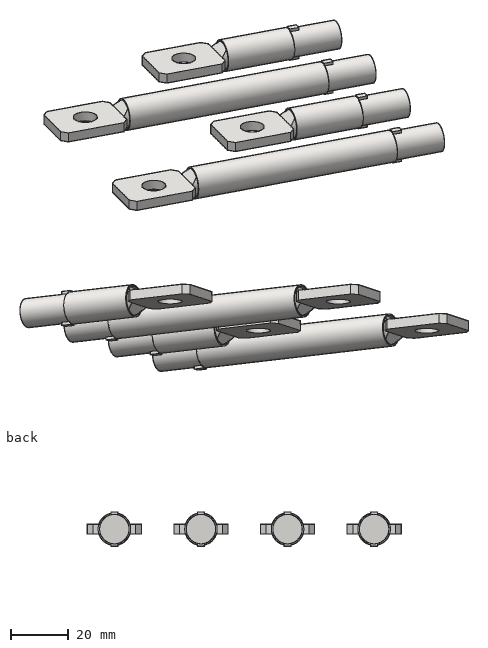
import cadquery as cq
import math

PITCH = 30.0
BARREL_LENGTHS = [25.0, 75.0, 25.0, 75.0]
OVERALL_LENGTH = 120.0

STEM_DIAMETER = 10.2
STEM_LENGTH = 18.0
BARREL_DIAMETER = 11.3

KEY_WIDTH = 2.4
KEY_LENGTH = 3.5
KEY_SPAN = 12.0

LUG_WIDTH = 18.8
LUG_LENGTH = 25.0
LUG_THICKNESS = 3.5
LUG_CHAMFER = 2.0
BOLT_HOLE_DIAMETER = 8.3

NECK_DIAMETER = STEM_DIAMETER
NECK_GAP = OVERALL_LENGTH - STEM_LENGTH - max(BARREL_LENGTHS) - LUG_LENGTH
BEVEL_ANGLE = 45.0
BEVEL_TOOL_LENGTH = NECK_DIAMETER


def rod(diameter, y_start, y_end):
    """Round bar along Y, centred on the terminal axis."""
    return cq.Workplane("XZ", origin=(0, y_end, 0)).circle(diameter / 2).extrude(y_end - y_start)


def make_bevels(y_lug):
    """Two sloping cutters, above and below, that taper the neck to the lug thickness."""
    half_thickness = LUG_THICKNESS / 2
    y_deep = y_lug + BEVEL_TOOL_LENGTH
    z_deep = half_thickness + BEVEL_TOOL_LENGTH * math.tan(math.radians(BEVEL_ANGLE))
    above_slope = (
        cq.Workplane("YZ")
        .polyline([(y_lug, half_thickness), (y_deep, z_deep), (y_lug, z_deep)])
        .close()
        .extrude(NECK_DIAMETER / 2, both=True)
    )
    upper = rod(NECK_DIAMETER, y_lug, y_deep).intersect(above_slope)
    lower = upper.mirror("XY")
    return upper, lower


def make_lug(y_lug):
    """Flat plate with chamfered corners and a central bolt hole."""
    return (
        cq.Workplane("XY", origin=(0, y_lug - LUG_LENGTH / 2, 0))
        .box(LUG_WIDTH, LUG_LENGTH, LUG_THICKNESS)
        .edges("|Z")
        .chamfer(LUG_CHAMFER)
        .faces(">Z")
        .workplane()
        .hole(BOLT_HOLE_DIAMETER)
    )


def make_keys(y_shoulder):
    """Rectangular bar through the stem whose two ends stand out as keys above and below."""
    return cq.Workplane("XY", origin=(0, y_shoulder + KEY_LENGTH / 2, 0)).box(KEY_WIDTH, KEY_LENGTH, KEY_SPAN)


def make_terminal(barrel_length):
    """One terminal, with its stem end at Y = 0 and its lug towards -Y."""
    y_shoulder = -STEM_LENGTH
    y_barrel_end = y_shoulder - barrel_length
    y_lug = y_barrel_end - NECK_GAP
    upper_bevel, lower_bevel = make_bevels(y_lug)
    return (
        rod(BARREL_DIAMETER, y_barrel_end, y_shoulder)
        .union(rod(STEM_DIAMETER, y_shoulder, 0))
        .union(rod(NECK_DIAMETER, y_lug, y_barrel_end))
        .cut(upper_bevel)
        .cut(lower_bevel)
        .union(make_keys(y_shoulder))
        .union(make_lug(y_lug))
    )


terminals = [
    make_terminal(barrel_length).translate((index * PITCH, 0, 0)).val()
    for index, barrel_length in enumerate(BARREL_LENGTHS)
]

result = cq.Compound.makeCompound(terminals)